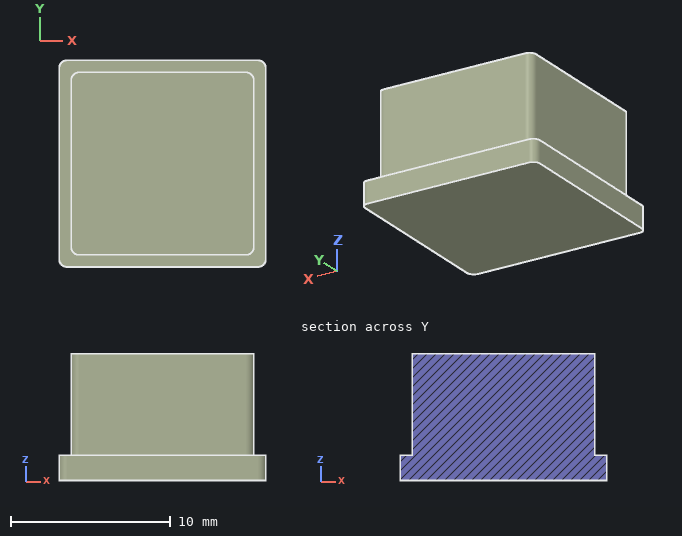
import cadquery as cq

total_height = 7.94

base_width = 12.95
base_height = 1.59

block_width = 11.43
block_height = total_height - base_height

corner_radius = 0.5


def rounded_square(width, height, bottom_z):
    """Square prism centred on the Z axis with rounded vertical edges."""
    return (
        cq.Workplane("XY")
        .workplane(offset=bottom_z)
        .rect(width, width)
        .extrude(height)
        .edges("|Z")
        .fillet(corner_radius)
    )


base = rounded_square(base_width, base_height, bottom_z=0)
block = rounded_square(block_width, block_height, bottom_z=base_height)

result = base.union(block)